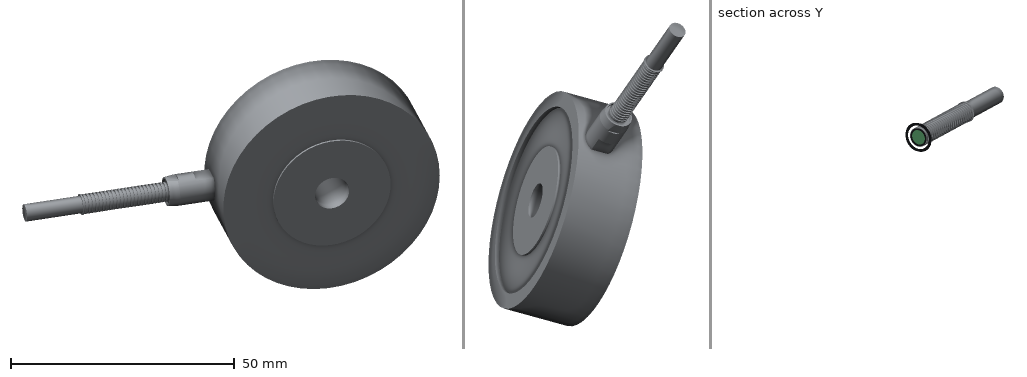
import cadquery as cq

body_diameter = 50.3
body_thickness = 15.5
bore_diameter = 7.9
recess_diameter = 43.2
recess_depth = 1.0
front_boss_diameter = 25.1
front_boss_height = 0.6
back_boss_diameter = 27.2
back_boss_height = 0.5

cable_axis_x = 5.1
fitting_diameter = 7.1
fitting_straight_length = 8.0
fitting_taper_length = 2.3
fitting_end_diameter = 6.5
wrench_flat_gap = 5.9
wrench_flat_length = 3.9
tip_bore_diameter = 5.8
tip_bore_depth = 0.5
tip_flat_gap = 6.45
tip_flat_run_in = 0.3

cable_diameter = 3.9
rib_diameter = 4.5
rib_width = 0.5
rib_count = 24
ribbed_length = 19.5
collar_diameter = 4.8
collar_width = 0.3
total_length = 93.5

body_radius = body_diameter / 2
cable_length = total_length - body_diameter
fitting_length = fitting_straight_length + fitting_taper_length
rib_pitch = ribbed_length / rib_count
fitting_radius = fitting_diameter / 2
fitting_embed = 0.9


def disc(diameter, x_start, thickness):
    """Cylinder along X from x_start toward +X."""
    return cq.Workplane("YZ", origin=(x_start, 0, 0)).circle(diameter / 2).extrude(thickness)


def cable_plane(distance):
    """Plane facing -Y on the cable axis, at a distance out from the rim."""
    return cq.Workplane("XZ", origin=(cable_axis_x, -body_radius - distance, 0))


def cable_section(distance):
    """Lengthwise plane through the cable axis: x is the radius, y runs along +Y."""
    return cq.Workplane("XY", origin=(cable_axis_x, -body_radius - distance, 0))


def cable_cylinder(diameter, start, length):
    """Cylinder on the cable axis, from a distance out from the rim."""
    return cable_plane(start).circle(diameter / 2).extrude(length)


def make_body():
    """Disc with a ring-shaped recess in front and a raised pad behind."""
    body = disc(body_diameter, 0, body_thickness)
    body = body.cut(disc(recess_diameter, 0, recess_depth))
    boss_start = recess_depth - front_boss_height
    body = body.union(disc(front_boss_diameter, boss_start, front_boss_height))
    return body.union(disc(back_boss_diameter, body_thickness, back_boss_height))


def flat_pair(gap, start, length):
    """Cutter that leaves two flats, facing +Z and -Z, a gap apart on the fitting."""
    stock = cable_plane(start).rect(2 * fitting_diameter, 2 * fitting_diameter).extrude(length)
    core = cable_plane(start).rect(2 * fitting_diameter, gap).extrude(length)
    return stock.cut(core)


def make_fitting():
    """Round fitting with two wrench flats at the rim, two more on the tapered tip, and a shallow tip bore."""
    fitting = (
        cable_section(0)
        .moveTo(0, fitting_embed)
        .lineTo(fitting_radius, fitting_embed)
        .lineTo(fitting_radius, -fitting_straight_length)
        .lineTo(fitting_end_diameter / 2, -fitting_length)
        .lineTo(0, -fitting_length)
        .close()
        .revolve(360, (0, 0, 0), (0, 1, 0))
    )
    bore_start = fitting_length - tip_bore_depth
    fitting = fitting.cut(cable_cylinder(tip_bore_diameter, bore_start, tip_bore_depth))

    rim_flats = flat_pair(wrench_flat_gap, -fitting_embed, wrench_flat_length + fitting_embed)
    tip_flat_start = fitting_straight_length - tip_flat_run_in
    tip_flats = flat_pair(tip_flat_gap, tip_flat_start, fitting_taper_length + tip_flat_run_in)
    return fitting.cut(rim_flats).cut(tip_flats)


def make_cable():
    """Cable with a row of strain-relief ribs closed by a collar."""
    cable = cable_cylinder(cable_diameter, 0, cable_length)
    for index in range(rib_count):
        rib_start = fitting_length + index * rib_pitch
        cable = cable.union(cable_cylinder(rib_diameter, rib_start, rib_width))
    collar_start = fitting_length + ribbed_length
    return cable.union(cable_cylinder(collar_diameter, collar_start, collar_width))


bore = disc(bore_diameter, 0, body_thickness + back_boss_height)
result = make_body().union(make_fitting()).union(make_cable()).cut(bore)